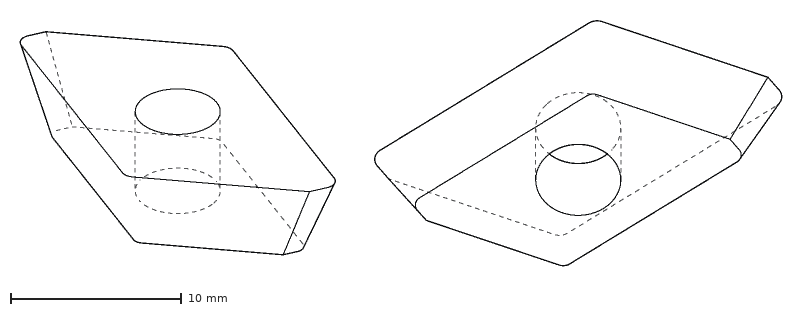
import cadquery as cq
import math

length = 22.2
width = 11.2
thickness = 5.5
obtuse_corner_x = 5.33
tip_flat_y = 3.69
corner_radius = 0.8
bottom_scale = 0.8
hole_diameter = 5.0


def outline(plane, scale):
    """Closed outline in plan, scaled about the part's centre."""
    half_length = scale * length / 2
    half_width = scale * width / 2
    corner_x = scale * obtuse_corner_x
    tip_y = scale * tip_flat_y
    radius = scale * corner_radius

    slant = math.atan2(half_width + tip_y, half_length - corner_x)
    setback = radius * math.tan(slant / 2)
    obtuse_start = (corner_x - setback, -half_width)
    obtuse_middle = (
        obtuse_start[0] + radius * math.sin(slant / 2),
        -half_width + radius * (1 - math.cos(slant / 2)),
    )
    obtuse_end = (
        corner_x + setback * math.cos(slant),
        -half_width + setback * math.sin(slant),
    )

    square_start = (half_length, half_width - radius)
    arc_inset = radius * (1 - math.sqrt(0.5))
    square_middle = (half_length - arc_inset, half_width - arc_inset)
    square_end = (half_length - radius, half_width)

    def opposite(point):
        return (-point[0], -point[1])

    return (
        plane.moveTo(*opposite(square_end))
        .lineTo(*obtuse_start)
        .threePointArc(obtuse_middle, obtuse_end)
        .lineTo(half_length, tip_y)
        .lineTo(*square_start)
        .threePointArc(square_middle, square_end)
        .lineTo(*opposite(obtuse_start))
        .threePointArc(opposite(obtuse_middle), opposite(obtuse_end))
        .lineTo(-half_length, -tip_y)
        .lineTo(*opposite(square_start))
        .threePointArc(opposite(square_middle), opposite(square_end))
        .close()
    )


bottom = outline(cq.Workplane("XY"), bottom_scale)
body = outline(bottom.workplane(offset=thickness), 1.0).loft(ruled=True)

result = body.cut(cq.Workplane("XY").circle(hole_diameter / 2).extrude(thickness))